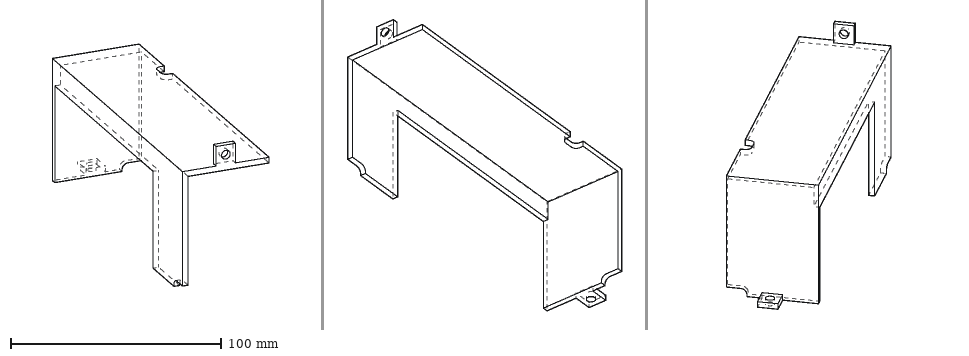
import cadquery as cq

total_length = 165.0
depth = 45.0
total_height = 73.0
wall = 3.0

tab_size = 10.0
tab_hole_diameter = 4.5

body_length = total_length - tab_size
body_height = total_height - tab_size

band_height = 13.0
right_leg_width = 35.1

notch_width = 10.0
notch_radius = 3.0
corner_notch_height = 4.0
top_notch_depth = 5.0
top_notch_offset = 30.0


def box(x, y, z, length, width, height):
    """Box with its lowest corner at (x, y, z)."""
    return cq.Workplane("XY").box(length, width, height, centered=False).translate((x, y, z))


def cover_body():
    """Top plate, left wall and front wall with its large opening."""
    top = box(0, 0, body_height - wall, body_length, depth, wall)
    left_wall = box(0, 0, 0, wall, depth, body_height)
    front_wall = box(0, 0, 0, body_length, wall, body_height)
    opening_length = body_length - wall - right_leg_width
    opening = box(wall, 0, 0, opening_length, wall, body_height - band_height)
    return top.union(left_wall).union(front_wall.cut(opening))


def floor_tab():
    """Tab lying flat at the foot of the left wall."""
    tab = box(-tab_size, (depth - tab_size) / 2, 0, tab_size, tab_size, wall)
    return tab.faces(">Z").workplane(centerOption="CenterOfBoundBox").hole(tab_hole_diameter)


def wall_tab():
    """Tab standing on the right end of the top plate."""
    tab = box(body_length - wall, (depth - tab_size) / 2, body_height, wall, tab_size, tab_size)
    return tab.faces(">X").workplane(centerOption="CenterOfBoundBox").hole(tab_hole_diameter)


def front_corner_notch():
    """Notch at the lower right corner of the front wall, with a rounded inner corner."""
    notch = box(body_length - notch_width, 0, 0, notch_width, wall, corner_notch_height)
    return notch.edges("<X and >Z").fillet(notch_radius)


def left_corner_notch():
    """Notch at the lower back corner of the left wall, with a rounded inner corner."""
    notch = box(0, depth - notch_width, 0, wall, notch_width, corner_notch_height)
    return notch.edges("<Y and >Z").fillet(notch_radius)


def top_notch():
    """Notch in the back edge of the top plate, with two rounded inner corners."""
    notch = box(top_notch_offset, depth - top_notch_depth, body_height - wall,
                notch_width, top_notch_depth, wall)
    return notch.edges("|Z and <Y").fillet(notch_radius)


result = cover_body().union(floor_tab()).union(wall_tab())
for notch in (front_corner_notch(), left_corner_notch(), top_notch()):
    result = result.cut(notch)